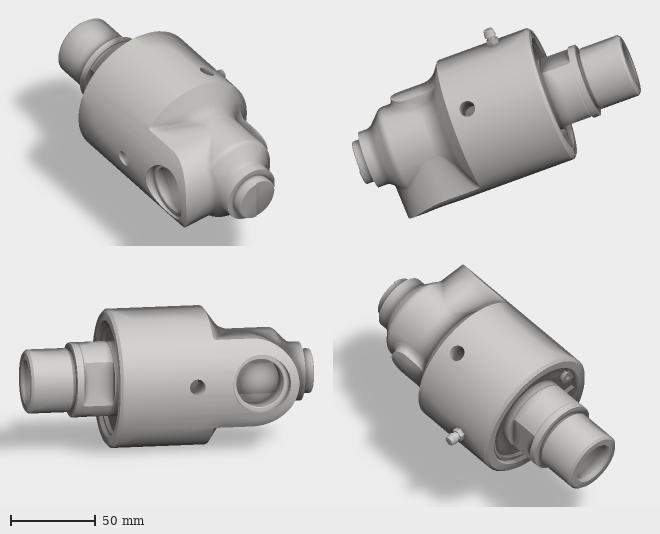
import cadquery as cq
import math

cone_overrun = 8.0
revolve_start_angle = 60.0
seam_tolerance = 0.001
seam_samples = (0.3, 0.6)

thread_diameter = 38.05
thread_end_x = 26.2
thread_chamfer = 1.4
relief_diameter = 35.0
ring_start_x = 27.0
ring_step_x = 28.2
ring_end_x = 31.1
shaft_diameter = 44.5
ring_diameter = 44.65
shaft_chamfer = 0.8
shaft_groove_width = 0.8
shaft_groove_depth = 0.4
flat_distance = 36.0
flat_end_x = 49.6
bore_diameter = 25.0
bore_end_x = 130.0
bore_chamfer = 0.9

body_start_x = 49.1
body_end_x = 107.0
body_radius = 41.3
body_chamfer = 1.7
recess_diameter = 68.1
recess_chamfer = 0.75
recess_depth = 5.1

cone_slope = 1.36
cone_fillet = 12.0
neck_radius = 26.8
neck_end_x = 149.6
neck_fillet = 5.2
shoulder_fillet = 6.0
collar_radius = 34.9 / 2
collar_end_x = 166.1

plug_radius = 13.25
plug_face_x = 171.7
plug_end_x = 172.34
plug_chamfer = 0.5
plug_step_y = -0.8

port_x = 134.6
boss_center_x = 130.6
boss_half_width = 26.5
boss_fillet = 2.6
port_diameter = 28.57
port_chamfer = 0.5
port_window_half_width = 9.1
port_face_diameter = 34.9
port_face_y = -35.7
core_radius = 21.2

pad_radius = 31.6
pad_half_width = 9.6
pad_fillet = 4.4

vent_x = 95.5
vent_diameter = 9.4
vent_angles = (0, 120, 240)

clip_face_depth = 2.6
clip_inner_radius = 33.4
clip_offset = 2.2
clip_lug_y = -28.4
clip_lug_z = 9.55
clip_lug_radius = 4.6
clip_tab_height = 15.0
clip_hole_diameter = 3.5

nipple_x = 70.8
nipple_embed = 1.0
nipple_hex = 7.0
nipple_hex_end = 44.2
nipple_neck_diameter = 5.36
nipple_bead_diameter = 7.0
nipple_bead_start = 46.4
nipple_bead_end = 47.9
nipple_shoulder_diameter = 6.6
nipple_tip_diameter = 5.7
nipple_bevel = 0.4
nipple_tip_end = 50.71


def x_cylinder(start_x, end_x, radius):
    """Cylinder on the X axis."""
    return cq.Workplane("YZ").workplane(offset=start_x).circle(radius).extrude(end_x - start_x)


def y_cylinder(center_x, start_y, end_y, radius):
    """Cylinder parallel to Y at the given x."""
    plane = cq.Plane(origin=(center_x, start_y, 0), xDir=(1, 0, 0), normal=(0, 1, 0))
    return cq.Workplane(plane).circle(radius).extrude(end_y - start_y)


def countersink(mouth, direction, radius, chamfer):
    """Cone that chamfers the mouth of a round hole at 45 degrees."""
    cone = cq.Solid.makeCone(radius + chamfer, radius, chamfer, cq.Vector(*mouth), cq.Vector(*direction))
    return cq.Workplane(cone)


def make_shaft():
    """Threaded end, stepped ring and shaft with two wrench flats."""
    shaft = x_cylinder(0, thread_end_x, thread_diameter / 2).faces("<X or >X").chamfer(thread_chamfer)
    shaft = shaft.union(x_cylinder(thread_end_x, ring_start_x, relief_diameter / 2))
    shaft = shaft.union(x_cylinder(ring_start_x, ring_step_x, shaft_diameter / 2))
    shaft = shaft.union(x_cylinder(ring_step_x, ring_end_x, ring_diameter / 2))
    barrel = x_cylinder(ring_end_x, body_start_x + recess_depth, shaft_diameter / 2)
    barrel = barrel.faces("<X").chamfer(shaft_chamfer)
    flat_length = flat_end_x - ring_end_x
    flats = cq.Workplane("XY").box(flat_length, flat_distance, shaft_diameter, centered=(False, True, True))
    flats = flats.translate((ring_end_x, 0, 0))
    groove_start_x = flat_end_x - shaft_groove_width
    groove = x_cylinder(groove_start_x, flat_end_x, shaft_diameter / 2)
    groove = groove.cut(x_cylinder(groove_start_x, flat_end_x, shaft_diameter / 2 - shaft_groove_depth))
    barrel = barrel.cut(groove)
    past_flats = x_cylinder(flat_end_x, body_start_x + recess_depth, shaft_diameter)
    return shaft.union(barrel.intersect(flats.union(past_flats)))


def make_body():
    """Main cylinder of the housing with chamfered front edge and chamfered front recess."""
    body = x_cylinder(body_start_x, body_end_x, body_radius).faces("<X").chamfer(body_chamfer)
    body = body.cut(x_cylinder(body_start_x, body_start_x + recess_depth, recess_diameter / 2))
    return body.cut(countersink((body_start_x, 0, 0), (1, 0, 0), recess_diameter / 2, recess_chamfer))


def rounded_corner(before, corner, after, radius):
    """Start, middle and end of an arc that rounds the corner of an outline."""
    to_before = (cq.Vector(*before) - cq.Vector(*corner)).normalized()
    to_after = (cq.Vector(*after) - cq.Vector(*corner)).normalized()
    half_angle = to_before.getAngle(to_after) / 2
    tangent_length = radius / math.tan(half_angle)
    middle_length = radius / math.sin(half_angle) - radius
    bisector = (to_before + to_after).normalized()
    corner_point = cq.Vector(*corner)
    start = corner_point + to_before * tangent_length
    middle = corner_point + bisector * middle_length
    end = corner_point + to_after * tangent_length
    return start.toTuple()[:2], middle.toTuple()[:2], end.toTuple()[:2]


def turned(outline):
    """Solid of revolution about X from (x, radius, corner rounding) points, front to back."""
    profile = cq.Workplane("XY").moveTo(outline[0][0], 0).lineTo(*outline[0][:2])
    for before, corner, after in zip(outline, outline[1:], outline[2:]):
        if corner[2]:
            start, middle, end = rounded_corner(before[:2], corner[:2], after[:2], corner[2])
            profile = profile.lineTo(*start).threePointArc(middle, end)
        else:
            profile = profile.lineTo(*corner[:2])
    profile = profile.lineTo(*outline[-1][:2]).lineTo(outline[-1][0], 0).close()
    solid = profile.revolve(360, (0, 0, 0), (1, 0, 0))
    return solid.rotate((0, 0, 0), (1, 0, 0), revolve_start_angle)


def cone_start():
    """Front rim of the cone, extended into the housing so that the blends run past its end."""
    return (body_end_x - cone_overrun, body_radius + cone_overrun * cone_slope, 0)


def cone_foot(radius):
    """Rounded corner where the cone meets a cylinder of the given radius."""
    return (body_end_x + (body_radius - radius) / cone_slope, radius, cone_fillet)


def make_neck():
    """Cone, neck cylinder, 45 degree shoulder and rear collar."""
    shoulder_end_x = neck_end_x + neck_radius - collar_radius
    return turned(
        [
            cone_start(),
            cone_foot(neck_radius),
            (neck_end_x, neck_radius, neck_fillet),
            (shoulder_end_x, collar_radius, shoulder_fillet),
            (collar_end_x, collar_radius, 0),
        ]
    )


def round_ended_bar(half_width, start_y, end_y):
    """Bar along X from inside the housing, with a round end about the boss center."""
    start_x = body_end_x - 2 * cone_overrun
    bar = cq.Workplane("XY").box(
        boss_center_x - start_x, end_y - start_y, 2 * half_width, centered=(False, False, True)
    )
    bar = bar.translate((start_x, start_y, 0))
    return bar.union(y_cylinder(boss_center_x, start_y, end_y, half_width))


def join_with_blend(first, second, radius):
    """Union of two solids with a fillet along the seam between them."""

    def touches(solid, edge, place):
        point = cq.Vertex.makeVertex(*edge.positionAt(place).toTuple())
        return min(face.distance(point) for face in solid.faces().vals()) < seam_tolerance

    def on_seam(edge):
        return all(touches(solid, edge, place) for solid in (first, second) for place in seam_samples)

    joined = first.union(second)
    seam = [edge for edge in joined.edges().vals() if edge.BoundingBox().xmax > body_end_x and on_seam(edge)]
    return joined.newObject(seam).fillet(radius)


def make_tail():
    """Neck with the pad on its +Y side and the port boss on its -Y side."""
    pad_bar = round_ended_bar(pad_half_width, 0, 2 * body_radius)
    pad_envelope = turned([cone_start(), cone_foot(pad_radius), (plug_end_x, pad_radius, 0)])
    tail = join_with_blend(make_neck(), pad_bar, pad_fillet).intersect(pad_envelope)
    boss_bar = round_ended_bar(boss_half_width, -2 * body_radius, 0)
    tail = join_with_blend(tail, boss_bar, boss_fillet)
    return tail.intersect(x_cylinder(body_end_x, collar_end_x, body_radius))


def make_plug():
    """End plug with a raised half disc on its -Y side."""
    plug = x_cylinder(collar_end_x, plug_face_x, plug_radius).faces(">X").chamfer(plug_chamfer)
    step = x_cylinder(collar_end_x, plug_end_x, plug_radius).faces(">X").chamfer(plug_chamfer)
    step_side = cq.Workplane("XY").box(
        plug_end_x, plug_radius, 2 * plug_radius, centered=(False, False, True)
    )
    step_side = step_side.translate((0, plug_step_y - plug_radius, 0))
    return plug.union(step.intersect(step_side))


def make_clip():
    """Eccentric retaining ring with two pierced lugs, seated in the recess."""
    start_x = body_start_x + clip_face_depth
    end_x = body_start_x + recess_depth
    disc = x_cylinder(start_x, end_x, recess_diameter / 2)
    clip = disc.cut(x_cylinder(start_x, end_x, clip_inner_radius).translate((0, -clip_offset, 0)))
    tab_center_z = clip_lug_z - clip_lug_radius + clip_tab_height / 2
    for side in (-1, 1):
        center = (0, clip_lug_y, side * clip_lug_z)
        lug = x_cylinder(start_x, end_x, clip_lug_radius).translate(center)
        lug = lug.union(
            cq.Workplane("XY")
            .box(end_x - start_x, recess_diameter / 2, clip_tab_height, centered=(False, False, True))
            .translate((start_x, clip_lug_y - recess_diameter / 2, side * tab_center_z))
        )
        hole = x_cylinder(start_x, end_x, clip_hole_diameter / 2).translate(center)
        clip = clip.union(lug.intersect(disc)).cut(hole)
    return clip


def make_nipple():
    """Grease nipple pointing along +Y."""
    base = cq.Workplane(cq.Plane(origin=(nipple_x, 0, 0), xDir=(0, 0, 1), normal=(0, 1, 0)))
    inner_y = body_radius - nipple_embed
    hexagon = base.workplane(offset=inner_y).polygon(6, nipple_hex / math.cos(math.pi / 6))
    hexagon = hexagon.extrude(nipple_hex_end - inner_y)
    stem = (
        cq.Workplane("XY")
        .moveTo(0, inner_y)
        .lineTo(nipple_neck_diameter / 2, inner_y)
        .lineTo(nipple_neck_diameter / 2, nipple_bead_start - nipple_bevel)
        .lineTo(nipple_bead_diameter / 2, nipple_bead_start)
        .lineTo(nipple_bead_diameter / 2, nipple_bead_end - nipple_bevel)
        .lineTo(nipple_shoulder_diameter / 2, nipple_bead_end)
        .lineTo(nipple_tip_diameter / 2, nipple_tip_end)
        .lineTo(0, nipple_tip_end)
        .close()
        .revolve(360, (0, 0, 0), (0, 1, 0))
        .translate((nipple_x, 0, 0))
    )
    return hexagon.union(stem)


def cut_port(part):
    """Side port whose flat floor meets the round core in a band of known width."""
    floor_y = -math.sqrt(core_radius**2 - port_window_half_width**2)
    port = y_cylinder(port_x, port_face_y, floor_y, port_diameter / 2)
    port = port.union(y_cylinder(port_x, -body_radius, port_face_y, port_face_diameter / 2))
    port = port.union(countersink((port_x, port_face_y, 0), (0, 1, 0), port_diameter / 2, port_chamfer))
    return part.cut(port.cut(make_core()))


def make_core():
    """Solid core left standing inside the port and the vent holes."""
    return x_cylinder(0, plug_end_x, core_radius)


def cut_vents(part):
    """Round holes through the housing wall down to the core, spaced around X."""
    for angle in vent_angles:
        vent = y_cylinder(vent_x, -body_radius, 0, vent_diameter / 2).cut(make_core())
        part = part.cut(vent.rotate((0, 0, 0), (1, 0, 0), angle))
    return part


def cut_bore(part):
    """Blind bore from the shaft end, chamfered at its mouth."""
    bore = x_cylinder(0, bore_end_x, bore_diameter / 2)
    return part.cut(bore).cut(countersink((0, 0, 0), (1, 0, 0), bore_diameter / 2, bore_chamfer))


result = make_body()
result = result.union(make_tail())
result = result.union(make_shaft())
result = result.union(make_clip())
result = result.union(make_plug())
result = result.union(make_nipple())
result = cut_bore(result)
result = cut_port(result)
result = cut_vents(result)